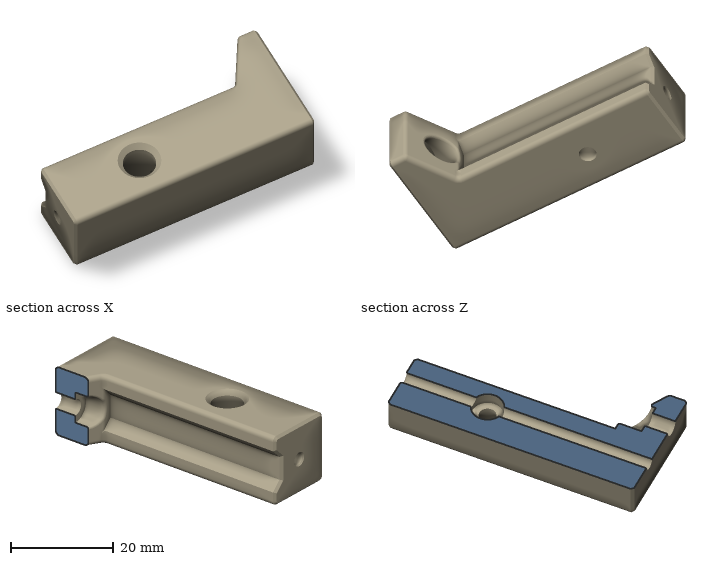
import cadquery as cq
import math

length = 53.0
bar_side = 15.0
arm_overhang = 10.3
arm_tip_thickness = 4.0
arm_slope = 30.0

edge_radius = 1.0
end_chamfer = 0.55

groove_depth = 2.0
groove_floor_width = 5.0

screw_bore = 3.5
counterbore = 6.5
screw_seat_thickness = 5.0
bar_mouth_chamfer = 1.0
arm_mouth_radius = 0.505
bar_screw_from_front = 18.1
arm_screw_from_tip = 7.45

axial_bore = 2.5
axial_mouth_chamfer = 0.25

bar_center_x = bar_side / 2
half_height = bar_side / 2
slope_ratio = math.tan(math.radians(arm_slope))
tip_x = -arm_overhang
tip_y = length - arm_tip_thickness
arm_root_y = tip_y - arm_overhang * slope_ratio
arm_screw_x = tip_x + arm_screw_from_tip
arm_seat_y = length - screw_seat_thickness

largest_circle = cq.selectors.RadiusNthSelector(-1)


def y_cylinder(diameter, x, y_end):
    """Cylinder parallel to Y at mid-height, from the front end to y_end."""
    return cq.Workplane("XZ", origin=(x, 0, 0)).circle(diameter / 2).extrude(-y_end)


def round_upright_edge(body, x, y):
    """Round the edge parallel to Z that passes through (x, y)."""
    nearest = cq.selectors.NearestToPointSelector((x, y, 0))
    return body.edges("|Z").edges(nearest).fillet(edge_radius)


def make_block():
    """Bar and arm with rounded long edges."""
    outline = [
        (0, 0),
        (bar_side, 0),
        (bar_side, length),
        (tip_x, length),
        (tip_x, tip_y),
        (0, arm_root_y),
    ]
    block = cq.Workplane("XY").polyline(outline).close().extrude(half_height, both=True)
    block = round_upright_edge(block, tip_x, tip_y)
    block = round_upright_edge(block, 0, arm_root_y)
    return block.faces("<Z or >Z").edges("not(<Y or >Y)").fillet(edge_radius)


def make_groove():
    """Groove from the front end to the arm root, where it meets the arm slope over a rounded edge.

    The tool reaches one groove depth outside the bar, so that it also cuts the fillet at the arm root.
    """
    half_floor = groove_floor_width / 2
    half_outside = half_floor + 2 * groove_depth
    section = [
        (groove_depth, half_floor),
        (groove_depth, -half_floor),
        (-groove_depth, -half_outside),
        (-groove_depth, half_outside),
    ]
    channel = cq.Workplane("XZ").polyline(section).close().extrude(-length)
    plan = [
        (-groove_depth, 0),
        (groove_depth, 0),
        (groove_depth, arm_root_y),
        (0, arm_root_y),
        (-groove_depth, arm_root_y + groove_depth * slope_ratio),
    ]
    reach = cq.Workplane("XY").polyline(plan).close().extrude(half_height, both=True)
    return channel.intersect(round_upright_edge(reach, 0, arm_root_y))


def cut_arm_screw_hole(body):
    """Screw hole along Y through the arm, counterbored from its sloped side with a rounded mouth."""
    body = body.cut(y_cylinder(counterbore, arm_screw_x, arm_seat_y))
    margin = 0.05
    reach = counterbore / 2 + margin
    around_mouth = cq.selectors.BoxSelector(
        (arm_screw_x - reach, arm_root_y - margin, -reach),
        (arm_screw_x + reach, arm_seat_y - margin, reach),
        boundingbox=True,
    )
    body = body.edges(around_mouth).edges("not %LINE").fillet(arm_mouth_radius)
    return body.cut(y_cylinder(screw_bore, arm_screw_x, length))


def cut_bar_screw_hole(body):
    """Vertical screw hole, counterbored from the top of the bar with a chamfered mouth."""
    top = body.faces(">Z").workplane(origin=(bar_center_x, bar_screw_from_front, 0))
    body = top.cboreHole(screw_bore, counterbore, bar_side - screw_seat_thickness)
    return body.faces(">Z").edges("%CIRCLE").edges(largest_circle).chamfer(bar_mouth_chamfer)


def cut_axial_hole(body):
    """Hole through the whole bar, with a small chamfer at the front end."""
    body = body.cut(y_cylinder(axial_bore, bar_center_x, length))
    return body.faces("<Y").edges("%CIRCLE").edges(largest_circle).chamfer(axial_mouth_chamfer)


body = make_block().cut(make_groove())
body = body.faces("<Y or >Y").chamfer(end_chamfer)
body = cut_arm_screw_hole(body)
body = cut_bar_screw_hole(body)
result = cut_axial_hole(body)